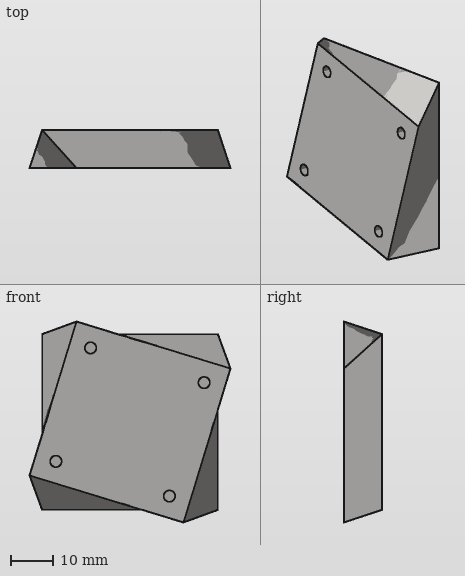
import cadquery as cq

thickness = 9.0
back_side = 41.5
front_side = 38.0
twist_angle = 17.0
hole_diameter = 2.7
hole_spacing = 28.0
hole_depth = 6.0


def front_plane():
    """Plane of the front face (Y = 0), turned with the front square, normal toward -Y."""
    return cq.Plane(origin=(0, 0, 0), xDir=(1, 0, 0), normal=(0, -1, 0)).rotated((0, 0, -twist_angle))


def back_plane():
    """Plane of the back face (Y = thickness), aligned with X and Z."""
    return cq.Plane(origin=(0, thickness, 0), xDir=(1, 0, 0), normal=(0, -1, 0))


def square_wire(plane, side):
    return cq.Workplane(plane).rect(side, side).wires().val()


def twisted_body():
    """Block with straight corner edges and ruled sides between the two squares."""
    back = square_wire(back_plane(), back_side)
    front = square_wire(front_plane(), front_side)
    return cq.Workplane(obj=cq.Solid.makeLoft([back, front], True))


def mounting_holes():
    """Four blind holes cut into the front face."""
    return (
        cq.Workplane(front_plane())
        .rect(hole_spacing, hole_spacing, forConstruction=True)
        .vertices()
        .circle(hole_diameter / 2)
        .extrude(-hole_depth)
    )


result = twisted_body().cut(mounting_holes())